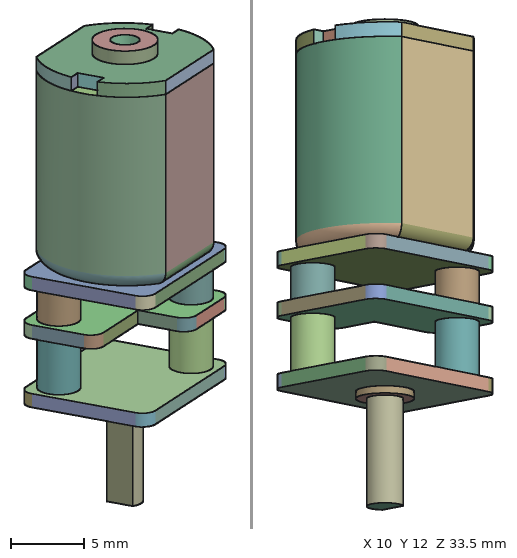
import cadquery as cq

WIDTH = 10.0
LENGTH = 12.0
HEIGHT = 33.5

PLATE_THICKNESS = 1.0
CORNER_RADIUS = 1.0
LOWER_GAP = 4.0
UPPER_GAP = 2.5
POST_DIAMETER = 3.0
POST_INSET = 2.0
POST_X = WIDTH / 2 - POST_INSET
POST_Y = LENGTH / 2 - POST_INSET
STEP_X = 1.0
STEP_Y = 0.0
COLLAR_DIAMETER = 4.0
COLLAR_HEIGHT = 0.5

SHAFT_DIAMETER = 2.5
SHAFT_LENGTH = 7.5
FLAT_OFFSET = 0.77
FLAT_LENGTH = 7.4

MOTOR_FLAT_LENGTH = 7.0
MOTOR_LENGTH = LENGTH
CAN_EDGE_RADIUS = 1.0
CAP_THICKNESS = 1.0
NOTCH_WIDTH = 2.0
NOTCH_DEPTH = 1.0
BOSS_DIAMETER = 4.5
BOSS_HEIGHT = 0.97
BORE_DIAMETER = 2.0

COLLAR_Z = SHAFT_LENGTH
BOTTOM_PLATE_Z = COLLAR_Z + COLLAR_HEIGHT
MIDDLE_PLATE_Z = BOTTOM_PLATE_Z + PLATE_THICKNESS + LOWER_GAP
TOP_PLATE_Z = MIDDLE_PLATE_Z + PLATE_THICKNESS + UPPER_GAP
CAN_Z = TOP_PLATE_Z + PLATE_THICKNESS
BOSS_Z = HEIGHT - BOSS_HEIGHT
CAP_Z = BOSS_Z - CAP_THICKNESS


def cylinder(diameter, z, height):
    """Upright cylinder on the motor axis."""
    return cq.Workplane("XY").workplane(offset=z).circle(diameter / 2).extrude(height)


def plate(z):
    """Rectangular gearbox plate with rounded corners."""
    return (
        cq.Workplane("XY").workplane(offset=z)
        .rect(WIDTH, LENGTH).extrude(PLATE_THICKNESS)
        .edges("|Z").fillet(CORNER_RADIUS)
    )


def stepped_plate(z):
    """L-shaped plate, open at its +X, -Y corner, with rounded outer corners."""
    right = WIDTH / 2
    back = LENGTH / 2
    outline = [
        (-right, -back), (STEP_X, -back), (STEP_X, STEP_Y),
        (right, STEP_Y), (right, back), (-right, back),
    ]
    blank = cq.Workplane("XY").workplane(offset=z).polyline(outline).close().extrude(PLATE_THICKNESS)
    step_point = (STEP_X, STEP_Y, z + PLATE_THICKNESS / 2)
    inner_corner = blank.edges(cq.selectors.NearestToPointSelector(step_point)).val()
    outer_corners = blank.edges("|Z").filter(lambda edge: not edge.isSame(inner_corner))
    return outer_corners.fillet(CORNER_RADIUS)


def output_shaft():
    """D-shaped shaft, round just under the collar, with its flat facing -Y."""
    shaft = cylinder(SHAFT_DIAMETER, 0, SHAFT_LENGTH)
    flat_cut = cq.Workplane("XY").box(
        SHAFT_DIAMETER, SHAFT_DIAMETER, FLAT_LENGTH, centered=(True, True, False)
    ).translate((0, -FLAT_OFFSET - SHAFT_DIAMETER / 2, 0))
    return shaft.cut(flat_cut)


def make_gearbox():
    """Three plates on two diagonal posts, with the collar and output shaft below."""
    posts = (
        cq.Workplane("XY").workplane(offset=BOTTOM_PLATE_Z)
        .pushPoints([(-POST_X, -POST_Y), (POST_X, POST_Y)])
        .circle(POST_DIAMETER / 2).extrude(CAN_Z - BOTTOM_PLATE_Z)
    )
    return (
        plate(BOTTOM_PLATE_Z)
        .union(posts)
        .union(stepped_plate(MIDDLE_PLATE_Z))
        .union(plate(TOP_PLATE_Z))
        .union(cylinder(COLLAR_DIAMETER, COLLAR_Z, COLLAR_HEIGHT))
        .union(output_shaft())
    )


def motor_section(z, height):
    """Prism with flats on its -X and +X sides and bulging -Y and +Y sides."""
    side = WIDTH / 2
    flat_end = MOTOR_FLAT_LENGTH / 2
    crest = MOTOR_LENGTH / 2
    return (
        cq.Workplane("XY").workplane(offset=z)
        .moveTo(-side, -flat_end)
        .threePointArc((0, -crest), (side, -flat_end))
        .lineTo(side, flat_end)
        .threePointArc((0, crest), (-side, flat_end))
        .close().extrude(height)
    )


def make_can():
    """Motor can with a rounded lower edge."""
    return motor_section(CAN_Z, CAP_Z - CAN_Z).faces("<Z").edges().fillet(CAN_EDGE_RADIUS)


def make_cap():
    """End cap with a bored boss and a notch on its -Y and +Y sides."""
    notches = (
        cq.Workplane("XY").workplane(offset=CAP_Z)
        .pushPoints([(0, side * MOTOR_LENGTH / 2) for side in (-1, 1)])
        .rect(NOTCH_WIDTH, 2 * NOTCH_DEPTH).extrude(CAP_THICKNESS)
    )
    return (
        motor_section(CAP_Z, CAP_THICKNESS)
        .cut(notches)
        .union(cylinder(BOSS_DIAMETER, BOSS_Z, BOSS_HEIGHT))
        .cut(cylinder(BORE_DIAMETER, BOSS_Z, BOSS_HEIGHT))
    )


gearbox = make_gearbox()
can = make_can()
cap = make_cap()

result = cq.Compound.makeCompound([gearbox.val(), can.val(), cap.val()])